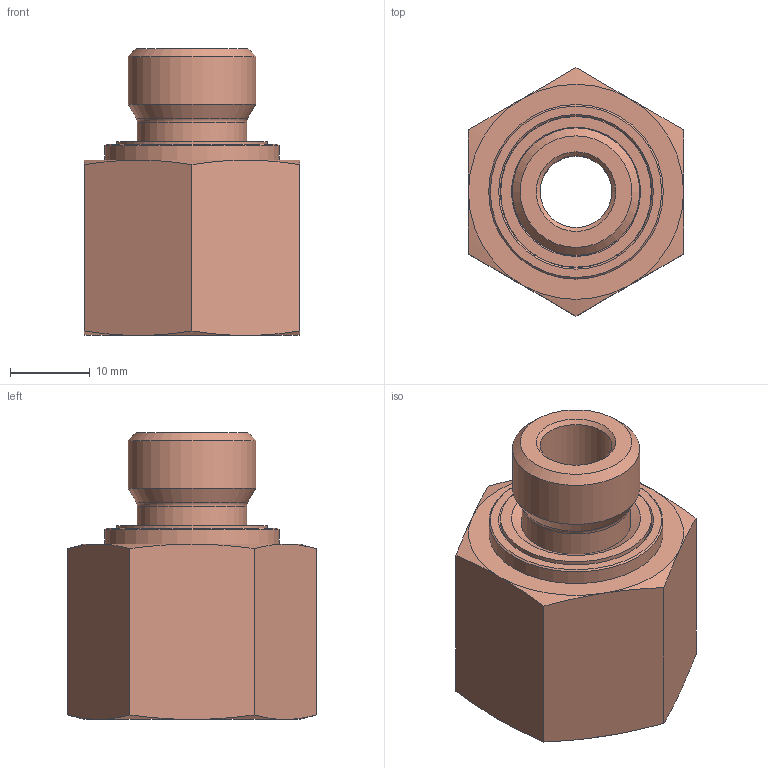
import cadquery as cq
import math

across_flats = 27.0
half_corner_angle = 30.0
across_corners = across_flats / math.cos(math.radians(half_corner_angle))
hex_height = 22.0
hex_chamfer_angle = 15.0

collar_diameter = 21.9
collar_top = 24.0
collar_chamfer = 0.2
groove_diameter = 19.0
groove_depth = 1.7
groove_floor = collar_top - groove_depth

total_height = 36.0
spigot_diameter = 16.0
spigot_chamfer = 1.0
spigot_bottom = 29.0
neck_diameter = 13.7
neck_cone_angle = 30.0
neck_blend_radius = 1.1
bore_diameter = 9.0
bore_chamfer = 0.5

seal_outer_diameter = 18.9
seal_inner_diameter = 13.8
seal_mouth_diameter = 16.2
seal_top = 24.3
seal_cone_angle = 30.0
seal_mouth_width = (seal_mouth_diameter - seal_inner_diameter) / 2
seal_cone_depth = seal_mouth_width * math.tan(math.radians(seal_cone_angle))


def revolve_about_z(profile):
    """Revolve a closed (radius, height) profile about the Z axis."""
    return profile.close().revolve(360, (0, 0, 0), (0, 1, 0))


def hexagon():
    """Hexagonal prism with corners on the Y axis, both ends turned to a cone."""
    prism = (
        cq.Workplane("XY")
        .polygon(6, across_corners)
        .extrude(hex_height)
        .rotate((0, 0, 0), (0, 0, 1), half_corner_angle)
    )
    flat_radius = across_flats / 2
    corner_radius = across_corners / 2
    drop = (corner_radius - flat_radius) * math.tan(math.radians(hex_chamfer_angle))
    turned_envelope = revolve_about_z(
        cq.Workplane("XZ")
        .moveTo(0, 0)
        .lineTo(flat_radius, 0)
        .lineTo(corner_radius, drop)
        .lineTo(corner_radius, hex_height - drop)
        .lineTo(flat_radius, hex_height)
        .lineTo(0, hex_height)
    )
    return prism.intersect(turned_envelope)


def collar():
    """Round collar on the hexagon, chamfered at its top edge."""
    return (
        cq.Workplane("XY")
        .workplane(offset=hex_height)
        .circle(collar_diameter / 2)
        .extrude(collar_top - hex_height)
        .faces(">Z")
        .chamfer(collar_chamfer)
    )


def groove_cutter():
    """Round recess for the seal, flared at the collar top."""
    groove_radius = groove_diameter / 2
    return revolve_about_z(
        cq.Workplane("XZ")
        .moveTo(0, groove_floor)
        .lineTo(groove_radius, groove_floor)
        .lineTo(groove_radius, collar_top - collar_chamfer)
        .lineTo(groove_radius + collar_chamfer, collar_top)
        .lineTo(0, collar_top)
    )


def spigot():
    """Neck widening through a blended cone to the chamfered spigot."""
    spigot_radius = spigot_diameter / 2
    neck_radius = neck_diameter / 2
    cone_angle = math.radians(neck_cone_angle)
    neck_top = spigot_bottom - (spigot_radius - neck_radius) / math.tan(cone_angle)

    tangent_length = neck_blend_radius * math.tan(cone_angle / 2)
    blend_start = (neck_radius, neck_top - tangent_length)
    blend_middle = (
        neck_radius + neck_blend_radius * (1 - math.cos(cone_angle / 2)),
        blend_start[1] + neck_blend_radius * math.sin(cone_angle / 2),
    )
    blend_end = (
        neck_radius + neck_blend_radius * (1 - math.cos(cone_angle)),
        blend_start[1] + neck_blend_radius * math.sin(cone_angle),
    )
    return revolve_about_z(
        cq.Workplane("XZ")
        .moveTo(0, groove_floor)
        .lineTo(neck_radius, groove_floor)
        .lineTo(*blend_start)
        .threePointArc(blend_middle, blend_end)
        .lineTo(spigot_radius, spigot_bottom)
        .lineTo(spigot_radius, total_height - spigot_chamfer)
        .lineTo(spigot_radius - spigot_chamfer, total_height)
        .lineTo(0, total_height)
    )


def bore_cutter():
    """Through bore with a chamfered mouth at the spigot end."""
    bore_radius = bore_diameter / 2
    return revolve_about_z(
        cq.Workplane("XZ")
        .moveTo(0, 0)
        .lineTo(bore_radius, 0)
        .lineTo(bore_radius, total_height - bore_chamfer)
        .lineTo(bore_radius + bore_chamfer, total_height)
        .lineTo(0, total_height)
    )


def make_fitting():
    """Hexagon, grooved collar and spigot as one bored body."""
    base = hexagon().union(collar()).cut(groove_cutter())
    return base.union(spigot()).cut(bore_cutter())


def make_seal():
    """Seal ring resting on the groove floor, with a conical mouth."""
    inner_radius = seal_inner_diameter / 2
    outer_radius = seal_outer_diameter / 2
    return revolve_about_z(
        cq.Workplane("XZ")
        .moveTo(inner_radius, groove_floor)
        .lineTo(outer_radius, groove_floor)
        .lineTo(outer_radius, seal_top)
        .lineTo(seal_mouth_diameter / 2, seal_top)
        .lineTo(inner_radius, seal_top - seal_cone_depth)
    )


fitting = make_fitting()
seal = make_seal()
result = cq.Compound.makeCompound([fitting.val(), seal.val()])